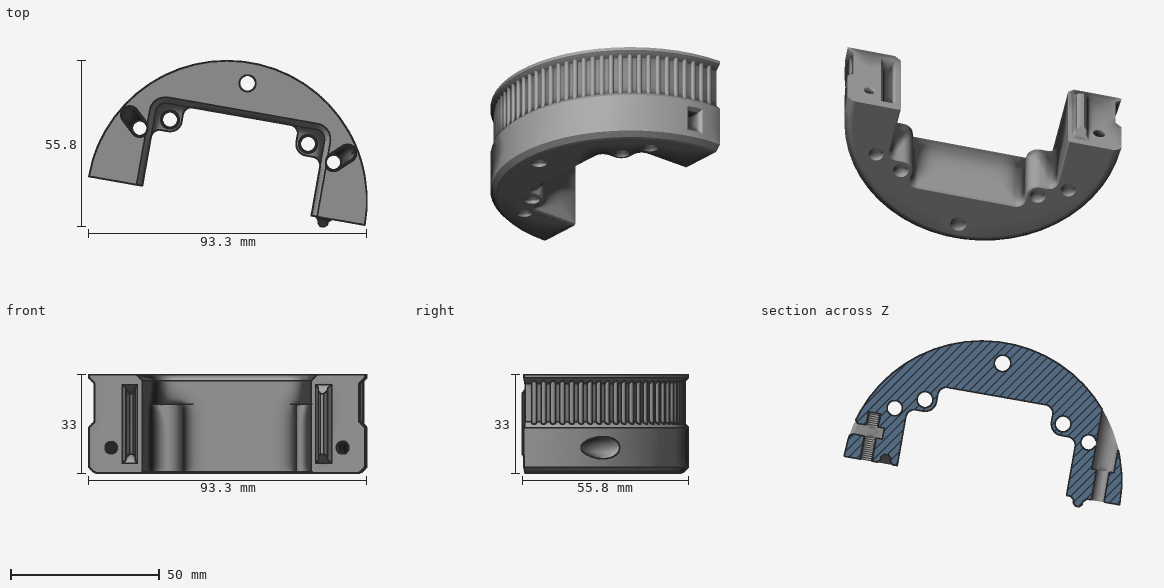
import cadquery as cq
import math

PART_TURN = -10.0

SHARP_EDGE_MARGIN = 1e-4

SELECTION_MARGIN = 0.1

DIAGONAL = math.sqrt(0.5)

HEIGHT = 33.0
OUTER_RADIUS = 47.0
BOTTOM_CHAMFER = 2.0
RIM_THICKNESS = 1.0
GRIP_DEPTH = 2.0
GRIP_RADIUS = OUTER_RADIUS - GRIP_DEPTH
GRIP_LOWER_Z = 15.25
GRIP_UPPER_Z = HEIGHT - RIM_THICKNESS

RIB_RADIUS = 0.87
RIB_PITCH_ANGLE = 4.0
RIB_COUNT = 44

OPENING_HALF_WIDTH = 28.75
OPENING_CORNER_RADIUS = 3.4
OPENING_TOP_CHAMFER = 2.0
OPENING_BOTTOM_CHAMFER = 0.5

BOSS_OFFSET = 23.5
BOSS_RADIUS = 4.0
BOSS_ROOT_RADIUS = 2.8
BOSS_HEIGHT = 23.0
BOSS_HOLE_DIAMETER = 5.2
BOSS_HOLE_CHAMFER = 0.5

MIDDLE_HOLE_DIAMETER = 5.4
MIDDLE_HOLE_Y = 40.0

SLOT_DIAMETER = 5.0
SLOT_BORE_X = 33.0
SLOT_BORE_Y = 18.9
SLOT_LENGTH = 5.6
SLOT_ANGLE = 43.0
SLOT_BEND_RADIUS = 3.5
SLOT_SLOPE_ANGLE = 45.0
JOG_TOP_Z = HEIGHT + 0.7
SLOT_CHAMFER = 0.5

KEY_X = 33.0
KEY_LENGTH = 26.3
KEY_HEIGHT = 3.0
RIDGE_BASE_HALF_WIDTH = 2.7
GROOVE_BASE_HALF_WIDTH = 2.55
KEY_BODY_HALF_WIDTH = 1.6
KEY_TIP_HALF_WIDTH = 0.6

SCREW_X = 39.4
SCREW_Z = 8.5
CLEARANCE_DIAMETER = 4.2
CLEARANCE_LENGTH = 10.4
HEAD_DIAMETER = 7.4
THREAD_MAJOR_DIAMETER = 4.11
THREAD_MINOR_DIAMETER = 3.33
THREAD_PITCH = 0.7
THREAD_RING_COUNT = 23

NUT_WIDTH = 7.0
NUT_NEAR_Y = 8.05
NUT_FAR_Y = 11.65
NUT_LEAD_IN = 1.12


def ring_body():
    """Half ring with the recessed grip band and the bottom chamfer."""
    profile = [
        (0, 0),
        (OUTER_RADIUS - BOTTOM_CHAMFER, 0),
        (OUTER_RADIUS, BOTTOM_CHAMFER),
        (OUTER_RADIUS, GRIP_LOWER_Z),
        (GRIP_RADIUS, GRIP_LOWER_Z + GRIP_DEPTH),
        (GRIP_RADIUS, GRIP_UPPER_Z - GRIP_DEPTH),
        (OUTER_RADIUS, GRIP_UPPER_Z),
        (OUTER_RADIUS, HEIGHT),
        (0, HEIGHT),
    ]
    half_ring = cq.Workplane("XZ").polyline(profile).close()
    return half_ring.revolve(180, (0, 0, 0), (0, 1, 0))


def grip_ribs():
    """Round vertical ribs standing on the grip band."""
    angles = [RIB_PITCH_ANGLE * number for number in range(1, RIB_COUNT + 1)]
    centres = [
        (GRIP_RADIUS * math.cos(math.radians(angle)), GRIP_RADIUS * math.sin(math.radians(angle)))
        for angle in angles
    ]
    rib_length = GRIP_UPPER_Z - GRIP_LOWER_Z
    ribs = cq.Workplane("XY", origin=(0, 0, GRIP_LOWER_Z)).pushPoints(centres)
    return ribs.circle(RIB_RADIUS).extrude(rib_length)


def inner_opening():
    """Square opening with rounded rear corners, flared at the top."""
    width = 2 * OPENING_HALF_WIDTH
    opening = cq.Workplane("XY").rect(width, width).extrude(HEIGHT)
    opening = opening.edges("|Z").fillet(OPENING_CORNER_RADIUS)

    top_half_width = OPENING_HALF_WIDTH + OPENING_TOP_CHAMFER
    top_radius = OPENING_CORNER_RADIUS + OPENING_TOP_CHAMFER
    flare = cq.Workplane("XY", origin=(0, 0, HEIGHT - OPENING_TOP_CHAMFER))
    flare = flare.rect(2 * top_half_width, 2 * top_half_width).extrude(OPENING_TOP_CHAMFER)
    flare = flare.edges("|Z").fillet(top_radius)
    flare = flare.faces("<Z").chamfer(OPENING_TOP_CHAMFER - SHARP_EDGE_MARGIN)

    return opening.union(flare)


def corner_boss():
    """Boss filling the +X rear corner of the opening, blended into both walls."""
    wall = OPENING_HALF_WIDTH
    side = BOSS_OFFSET - BOSS_RADIUS
    root_end = side - BOSS_ROOT_RADIUS
    root_start = wall - BOSS_ROOT_RADIUS
    root_bulge = BOSS_ROOT_RADIUS * DIAGONAL
    nose = BOSS_OFFSET - BOSS_RADIUS * DIAGONAL
    outline = (
        cq.Workplane("XY")
        .moveTo(wall, wall)
        .lineTo(root_end, wall)
        .threePointArc((root_end + root_bulge, root_start + root_bulge), (side, root_start))
        .lineTo(side, BOSS_OFFSET)
        .threePointArc((nose, nose), (BOSS_OFFSET, side))
        .lineTo(root_start, side)
        .threePointArc((root_start + root_bulge, root_end + root_bulge), (wall, root_end))
        .close()
    )
    return outline.extrude(BOSS_HEIGHT)


def boss_hole():
    """Through hole of the +X boss with a chamfered mouth."""
    radius = BOSS_HOLE_DIAMETER / 2
    profile = [
        (0, 0),
        (radius, 0),
        (radius, BOSS_HEIGHT - BOSS_HOLE_CHAMFER),
        (radius + BOSS_HOLE_CHAMFER, BOSS_HEIGHT),
        (0, BOSS_HEIGHT),
    ]
    hole = cq.Workplane("XZ").polyline(profile).close().revolve(360, (0, 0, 0), (0, 1, 0))
    return hole.translate((BOSS_OFFSET, BOSS_OFFSET, 0))


def jog_path():
    """Centre line of the jog in the XZ plane, from its mouth at +X down to the bore at X = 0."""
    half_turn = math.radians(SLOT_SLOPE_ANGLE / 2)
    half_turn_shift = SLOT_BEND_RADIUS * (1 - math.cos(half_turn))
    half_turn_drop = SLOT_BEND_RADIUS * math.sin(half_turn)
    full_turn = math.radians(SLOT_SLOPE_ANGLE)
    turn_shift = SLOT_BEND_RADIUS * (1 - math.cos(full_turn))
    turn_drop = SLOT_BEND_RADIUS * math.sin(full_turn)
    slope_drop = (SLOT_LENGTH - 2 * turn_shift) / math.tan(full_turn)
    bore_top = JOG_TOP_Z - slope_drop - 2 * turn_drop

    upper_bend_middle = (SLOT_LENGTH - half_turn_shift, JOG_TOP_Z - half_turn_drop)
    upper_bend_end = (SLOT_LENGTH - turn_shift, JOG_TOP_Z - turn_drop)
    lower_bend_start = (turn_shift, bore_top + turn_drop)
    lower_bend_middle = (half_turn_shift, bore_top + half_turn_drop)
    return (
        cq.Workplane("XZ")
        .moveTo(SLOT_LENGTH, JOG_TOP_Z)
        .threePointArc(upper_bend_middle, upper_bend_end)
        .lineTo(*lower_bend_start)
        .threePointArc(lower_bend_middle, (0, bore_top))
    )


def slotted_bore():
    """Bore that jogs outwards near the top and is open above the jog, on the +X side."""
    radius = SLOT_DIAMETER / 2
    tube = cq.Workplane("XY", origin=(SLOT_LENGTH, 0, JOG_TOP_Z)).circle(radius).sweep(jog_path())
    bore = cq.Workplane("XY").circle(radius).extrude(JOG_TOP_Z)
    open_top = jog_path().lineTo(0, JOG_TOP_Z).close().extrude(radius, both=True)

    mouth_width = SLOT_DIAMETER + 2 * SLOT_CHAMFER
    mouth = cq.Workplane("XY", origin=(SLOT_LENGTH / 2, 0, HEIGHT - SLOT_CHAMFER))
    mouth = mouth.slot2D(SLOT_LENGTH + mouth_width, mouth_width).extrude(SLOT_CHAMFER)
    mouth = mouth.faces("<Z").chamfer(SLOT_CHAMFER - SHARP_EDGE_MARGIN)

    cutter = bore.union(open_top).union(tube).union(mouth)
    cutter = cutter.rotate((0, 0, 0), (0, 0, 1), SLOT_ANGLE)
    return cutter.translate((SLOT_BORE_X, SLOT_BORE_Y, 0))


def key_bar(outward, base_half_width):
    """Stepped bar with 45 degree ends; outward is the Y direction of its tip."""
    shoulder = base_half_width - KEY_BODY_HALF_WIDTH
    tip_start = KEY_HEIGHT - (KEY_BODY_HALF_WIDTH - KEY_TIP_HALF_WIDTH)
    half_section = [
        (base_half_width, 0),
        (KEY_BODY_HALF_WIDTH, shoulder),
        (KEY_BODY_HALF_WIDTH, tip_start),
        (KEY_TIP_HALF_WIDTH, KEY_HEIGHT),
    ]
    mirrored = [(-x, y) for x, y in reversed(half_section)]
    section = [(x, outward * y) for x, y in half_section + mirrored]
    bar = cq.Workplane("XY").polyline(section).close().extrude(KEY_LENGTH)

    sloped_ends = [
        (0, 0),
        (outward * KEY_HEIGHT, KEY_HEIGHT),
        (outward * KEY_HEIGHT, KEY_LENGTH - KEY_HEIGHT),
        (0, KEY_LENGTH),
    ]
    envelope = cq.Workplane("YZ").polyline(sloped_ends).close()
    envelope = envelope.extrude(base_half_width, both=True)
    return bar.intersect(envelope).translate((0, 0, (HEIGHT - KEY_LENGTH) / 2))


def clearance_hole():
    """Screw clearance hole and head bore at the +X end, open to the outer wall."""
    start = cq.Workplane("XZ", origin=(SCREW_X, 0, SCREW_Z))
    shank = start.circle(CLEARANCE_DIAMETER / 2).extrude(-CLEARANCE_LENGTH)
    head = start.workplane(offset=-CLEARANCE_LENGTH).circle(HEAD_DIAMETER / 2)
    return shank.union(head.extrude(CLEARANCE_LENGTH - OUTER_RADIUS))


def threaded_hole():
    """Screw hole at the -X end with V-shaped rings in place of a helical thread."""
    major = THREAD_MAJOR_DIAMETER / 2
    minor = THREAD_MINOR_DIAMETER / 2
    profile = [(0, 0), (major, 0)]
    for ring in range(THREAD_RING_COUNT):
        crest_y = (ring + 0.5) * THREAD_PITCH
        root_y = (ring + 1) * THREAD_PITCH
        profile += [(minor, crest_y), (major, root_y)]
    profile.append((0, THREAD_RING_COUNT * THREAD_PITCH))
    hole = cq.Workplane("XY").polyline(profile).close().revolve(360, (0, 0, 0), (0, 1, 0))
    return hole.translate((-SCREW_X, 0, SCREW_Z))


def nut_pocket():
    """Pocket with a pointed hexagonal inner end and a flared mouth, at the -X end."""
    half_width = NUT_WIDTH / 2
    point = NUT_WIDTH / math.sqrt(3)
    thickness = NUT_FAR_Y - NUT_NEAR_Y
    outline = [
        (-OUTER_RADIUS, -half_width),
        (-SCREW_X + point / 2, -half_width),
        (-SCREW_X + point, 0),
        (-SCREW_X + point / 2, half_width),
        (-OUTER_RADIUS, half_width),
    ]
    pocket = cq.Workplane("XZ", origin=(0, NUT_NEAR_Y, SCREW_Z))
    pocket = pocket.polyline(outline).close().extrude(-thickness)

    middle_y = (NUT_NEAR_Y + NUT_FAR_Y) / 2
    wall_x = -math.sqrt(OUTER_RADIUS**2 - middle_y**2)
    wall_angle = math.degrees(math.asin(middle_y / OUTER_RADIUS))
    flare_depth = 2 * NUT_LEAD_IN
    mouth = (
        cq.Workplane("YZ")
        .rect(thickness, NUT_WIDTH)
        .workplane(offset=-flare_depth)
        .rect(thickness + 2 * flare_depth, NUT_WIDTH + 2 * flare_depth)
        .loft()
    )
    mouth = mouth.rotate((0, 0, 0), (0, 0, 1), -wall_angle)
    mouth = mouth.translate((wall_x + NUT_LEAD_IN, middle_y, SCREW_Z))
    return pocket.union(mouth)


def on_both_sides(shape):
    """The shape together with its mirror image across the YZ plane."""
    return shape.union(shape.mirror("YZ"))


def chamfer_opening_bottom(part):
    """Break the lower edge of the opening and of the bosses."""
    reach = OPENING_HALF_WIDTH + SELECTION_MARGIN
    low_corner = (-reach, 0, -SELECTION_MARGIN)
    high_corner = (reach, reach, SELECTION_MARGIN)
    rim = part.faces("<Z").edges(cq.selectors.BoxSelector(low_corner, high_corner))
    return rim.chamfer(OPENING_BOTTOM_CHAMFER)


part = ring_body().union(grip_ribs()).cut(inner_opening())
part = part.union(on_both_sides(corner_boss()))
part = chamfer_opening_bottom(part)
part = part.cut(on_both_sides(boss_hole()))
part = part.cut(on_both_sides(slotted_bore()))

middle_hole = cq.Workplane("XY").circle(MIDDLE_HOLE_DIAMETER / 2).extrude(HEIGHT)
part = part.cut(middle_hole.translate((0, MIDDLE_HOLE_Y, 0)))

part = part.union(key_bar(-1, RIDGE_BASE_HALF_WIDTH).translate((KEY_X, 0, 0)))
part = part.cut(key_bar(1, GROOVE_BASE_HALF_WIDTH).translate((-KEY_X, 0, 0)))

part = part.cut(clearance_hole())
part = part.cut(threaded_hole())
part = part.cut(nut_pocket())

result = part.rotate((0, 0, 0), (0, 0, 1), PART_TURN)